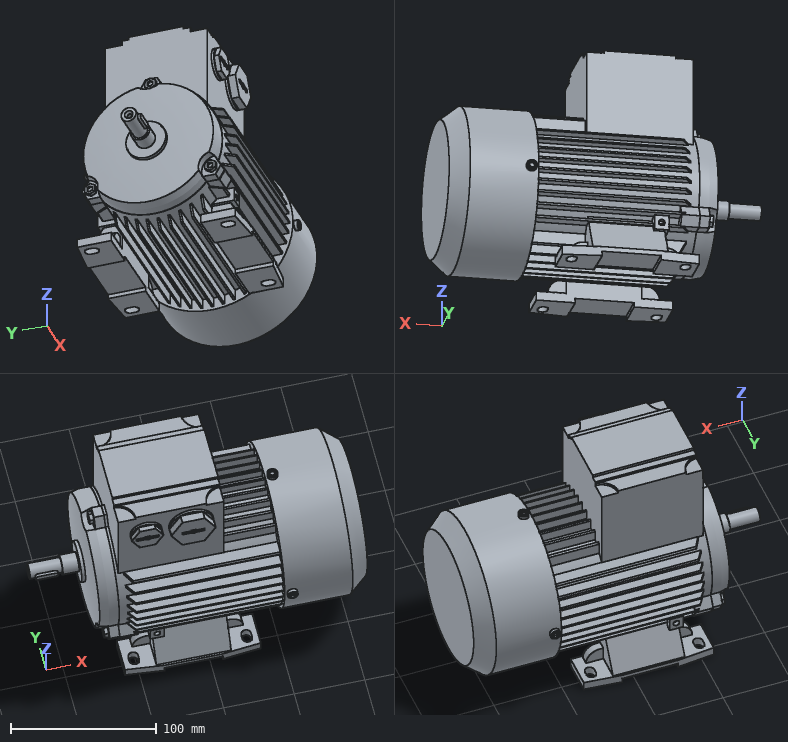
import cadquery as cq
import math


shoulder_x = 22.8
hub_x = 34.3
shield_face_x = 37.0
shield_rim_x = 39.0
shield_flange_x = 45.5
frame_x = 52.5
frame_lug_end_x = 65.5
cowl_x = 167.5
cowl_taper_x = 215.7
motor_length = 228.5

shaft_radius = 5.5
shoulder_radius = 14.0 / 2
key_width = 4.0
key_start_x = 3.5
key_length = 16.2
key_top = 7.3
key_bottom = 3.0
center_mouth_radius = 3.0
center_hole_radius = 1.71
center_cone_depth = 2.3
center_hole_depth = 9.1

hub_radius = 14.6
shield_face_mid = (37.7, 33.1)
shield_rim_radius = 47.8
shield_radius = 49.4
frame_radius = 49.5
cowl_radius = 59.0
cowl_end_radius = 48.7

bolt_circle_radius = 51.0
bolt_angles = (90, 210, 330)
shield_lug_top = 56.7
frame_lug_top = 57.1
lug_base_radius = 47.8
lug_base_half_width = 9.1
lug_tip_half_width = 4.0
bolt_pocket_radius = 11.5
bolt_pocket_center = 55.8
bolt_head_flats = 7.5
bolt_head_height = 3.0
bolt_socket_flats = 3.9
bolt_socket_depth = 1.4

fin_radius = 56.5
fin_pitch = 8.0
fin_thickness = 1.4
fins_each_side_of_center = 4
fin_root_x = 58.5
fin_tip_x = 63.3

box_start_x = 54.5
box_end_x = 129.5
box_half_width = 37.5
box_bottom = 32.2
box_shoulder = 97.0
box_step = 98.7
box_top = 100.8
box_step_half_width = 25.1
box_top_half_width = 20.0
corner_recess_radius = 12.3
corner_recess_depth = 1.8
box_length = box_end_x - box_start_x

plugs = ((74.3, 11.2, 5.5), (106.3, 15.8, 7.5))
plug_z = 77.2
plug_flange_height = 1.8
plug_slot_length = 16.0
plug_slot_width = 2.5
plug_slot_depth = 1.1
plug_dimple_radius = 2.0

screw_x = 172.7
screw_angles = (0, 90, 180)
screw_radius = 3.7
width_over_screws = 124.0
screw_top = width_over_screws / 2
screw_chamfer = 0.7
screw_socket_flats = 3.9
screw_socket_depth = 1.8

shaft_height = 63.0
foot_top = -56.5
bar_bottom = -59.9
foot_start_x = 54.5
foot_end_x = 150.8
pad_length = 27.5
foot_inner_y = 33.0
foot_end_y = 58.0
foot_outer_y = 60.8
foot_hole_width = 6.9
foot_hole_length = 10.0
foot_hole_spacing = 80.0
foot_hole_y = 50.0
bracket_start_x = 76.5
bracket_end_x = 129.5
bracket_bottom_y = 59.2
bracket_top_y = 41.1
bracket_top = -27.5
gusset_inner_y = 34.3
gusset_outer_y = 40.7
gusset_radius = 10.0
gusset_setback = 2.7

terminal_start_x = 74.3
terminal_width = 10.0
terminal_bottom = -36.5
terminal_top = -26.3
terminal_outer_y = 50.3
terminal_hole_radius = 2.17
terminal_hole_depth = 3.5


def box(x_range, y_range, z_range):
    """Block spanning the given (low, high) ranges."""
    (x0, x1), (y0, y1), (z0, z1) = x_range, y_range, z_range
    return cq.Workplane("XY").box(x1 - x0, y1 - y0, z1 - z0, centered=False).translate((x0, y0, z0))


def cylinder_x(x0, x1, radius):
    """Cylinder on the shaft axis."""
    return cq.Workplane("YZ").workplane(offset=x0).circle(radius).extrude(x1 - x0)


def both_sides(body):
    """The body together with its mirror image across the XZ plane."""
    return body.union(body.mirror("XZ"))


def hexagon_diameter(flats):
    """Corner diameter of a hexagon with the given distance across flats."""
    return flats / math.cos(math.pi / 6)


def make_shaft():
    shaft = cylinder_x(0, shoulder_x, shaft_radius).union(cylinder_x(shoulder_x, hub_x, shoulder_radius))
    key = (
        cq.Workplane("XZ")
        .workplane(offset=key_bottom)
        .center(key_start_x + key_length / 2, 0)
        .slot2D(key_length, key_width)
        .extrude(key_top - key_bottom)
    )
    center_hole = (
        cq.Workplane("XY")
        .moveTo(0, 0)
        .lineTo(0, center_mouth_radius)
        .lineTo(center_cone_depth, center_hole_radius)
        .lineTo(center_hole_depth, center_hole_radius)
        .lineTo(center_hole_depth, 0)
        .close()
        .revolve(360, (0, 0, 0), (1, 0, 0))
    )
    return shaft.union(key).cut(center_hole)


def make_lug(x0, x1, tip):
    """Tapered lug pointing along +Z, between two stations on the axis."""
    return (
        cq.Workplane("YZ")
        .workplane(offset=x0)
        .polyline(
            [
                (-lug_base_half_width, 0),
                (-lug_base_half_width, lug_base_radius),
                (-lug_tip_half_width, tip),
                (lug_tip_half_width, tip),
                (lug_base_half_width, lug_base_radius),
                (lug_base_half_width, 0),
            ]
        )
        .close()
        .extrude(x1 - x0)
    )


def make_bolt():
    """Socket bolt head seated on the top lug."""
    head_face = (
        cq.Workplane("YZ", origin=(shield_flange_x - bolt_head_height, 0, bolt_circle_radius))
        .transformed(rotate=(0, 0, 90))
    )
    head = head_face.polygon(6, hexagon_diameter(bolt_head_flats)).extrude(bolt_head_height)
    socket = head_face.polygon(6, hexagon_diameter(bolt_socket_flats)).extrude(bolt_socket_depth)
    return head.cut(socket)


def make_round_bodies():
    """End shield, frame barrel and fan cowl turned about the shaft axis."""
    return (
        cq.Workplane("XY")
        .moveTo(hub_x, 0)
        .lineTo(hub_x, hub_radius)
        .lineTo(shield_face_x, hub_radius)
        .threePointArc(shield_face_mid, (shield_rim_x, shield_rim_radius))
        .lineTo(shield_flange_x, shield_radius)
        .lineTo(frame_x, shield_radius)
        .lineTo(frame_x, frame_radius)
        .lineTo(cowl_x, frame_radius)
        .lineTo(cowl_x, cowl_radius)
        .lineTo(cowl_taper_x, cowl_radius)
        .lineTo(motor_length, cowl_end_radius)
        .lineTo(motor_length, 0)
        .close()
        .revolve(360, (0, 0, 0), (1, 0, 0))
    )


def add_lugs_and_bolts(body):
    lug = make_lug(shield_flange_x, frame_x, shield_lug_top).union(
        make_lug(frame_x, frame_lug_end_x, frame_lug_top)
    )
    pocket = (
        cq.Workplane("YZ")
        .workplane(offset=hub_x)
        .center(0, bolt_pocket_center)
        .circle(bolt_pocket_radius)
        .extrude(shield_flange_x - hub_x)
    )
    bolt = make_bolt()
    for angle in bolt_angles:
        turn = ((0, 0, 0), (1, 0, 0), angle - 90)
        body = body.union(lug.rotate(*turn))
        body = body.cut(pocket.rotate(*turn))
        body = body.union(bolt.rotate(*turn))
    return body


def make_fins():
    """Parallel fins, horizontal at the sides and vertical above and below, ending on a common cylinder."""
    envelope = (
        cq.Workplane("XY")
        .moveTo(fin_root_x, 0)
        .lineTo(fin_root_x, frame_radius)
        .lineTo(fin_tip_x, fin_radius)
        .lineTo(cowl_x, fin_radius)
        .lineTo(cowl_x, 0)
        .close()
        .revolve(360, (0, 0, 0), (1, 0, 0))
    )
    x_range = (fin_root_x, cowl_x)
    across = (-fin_radius, fin_radius)
    fins = cq.Workplane("XY")
    for index in range(-fins_each_side_of_center, fins_each_side_of_center + 1):
        center = index * fin_pitch
        thickness_range = (center - fin_thickness / 2, center + fin_thickness / 2)
        fins = fins.union(box(x_range, across, thickness_range))
        fins = fins.union(box(x_range, thickness_range, across))
    return fins.intersect(envelope)


def make_plug(x, flange_radius, height):
    """Slotted hexagonal plug on the -Y wall of the terminal box."""
    wall = cq.Workplane("XZ").workplane(offset=box_half_width).center(x, plug_z)
    plug = wall.circle(flange_radius).extrude(plug_flange_height)
    plug = plug.union(wall.polygon(6, 2 * flange_radius).extrude(height))
    slot_floor = wall.workplane(offset=height - plug_slot_depth)
    slot = slot_floor.slot2D(plug_slot_length, plug_slot_width).extrude(plug_slot_depth)
    dimple = slot_floor.circle(plug_dimple_radius).extrude(plug_slot_depth)
    return plug.cut(slot).cut(dimple)


def make_terminal_box():
    x_range = (box_start_x, box_end_x)
    body = box(x_range, (-box_half_width, box_half_width), (box_bottom, box_shoulder))
    body = body.union(box(x_range, (-box_step_half_width, box_step_half_width), (box_bottom, box_step)))
    body = body.union(box(x_range, (-box_top_half_width, box_top_half_width), (box_bottom, box_top)))
    corner_recesses = (
        cq.Workplane("XY", origin=(box_start_x + box_length / 2, 0, box_shoulder - corner_recess_depth))
        .rect(box_length, 2 * box_half_width, forConstruction=True)
        .vertices()
        .circle(corner_recess_radius)
        .extrude(corner_recess_depth)
    )
    body = body.cut(corner_recesses)
    for plug in plugs:
        body = body.union(make_plug(*plug))
    return body


def make_screw():
    """Cowl screw with a hexagonal socket, pointing along +Z."""
    screw_length = screw_top - cowl_end_radius
    return (
        cq.Workplane("XY", origin=(screw_x, 0, cowl_end_radius))
        .circle(screw_radius)
        .extrude(screw_length)
        .faces(">Z")
        .chamfer(screw_chamfer)
        .faces(">Z")
        .workplane()
        .polygon(6, hexagon_diameter(screw_socket_flats))
        .cutBlind(-screw_socket_depth)
    )


def make_foot():
    """Foot on the +Y side: two pads joined by a thinner bar, a sloped bracket and two round gussets."""
    pad_inner_x = (foot_start_x + pad_length, foot_end_x - pad_length)
    foot = (
        cq.Workplane("XY", origin=(0, 0, -shaft_height))
        .polyline(
            [
                (foot_start_x, foot_inner_y),
                (foot_start_x, foot_end_y),
                (pad_inner_x[0], foot_outer_y),
                (pad_inner_x[1], foot_outer_y),
                (foot_end_x, foot_end_y),
                (foot_end_x, foot_inner_y),
            ]
        )
        .close()
        .extrude(foot_top + shaft_height)
    )
    foot = foot.cut(box(pad_inner_x, (0, foot_outer_y), (-shaft_height, bar_bottom)))
    foot_center_x = (foot_start_x + foot_end_x) / 2
    hole_x = (foot_center_x - foot_hole_spacing / 2, foot_center_x + foot_hole_spacing / 2)
    foot_holes = (
        cq.Workplane("XY", origin=(0, 0, -shaft_height))
        .pushPoints([(x, foot_hole_y) for x in hole_x])
        .slot2D(foot_hole_length, foot_hole_width, 90)
        .extrude(foot_top + shaft_height)
    )
    foot = foot.cut(foot_holes)
    bracket = (
        cq.Workplane("YZ")
        .workplane(offset=bracket_start_x)
        .polyline(
            [
                (foot_inner_y, foot_top),
                (bracket_bottom_y, foot_top),
                (bracket_top_y, bracket_top),
                (foot_inner_y, bracket_top),
            ]
        )
        .close()
        .extrude(bracket_end_x - bracket_start_x)
    )
    gusset_x = (bracket_start_x - gusset_setback, bracket_end_x + gusset_setback)
    gussets = box(gusset_x, (gusset_inner_y, gusset_outer_y), (foot_top, foot_top + gusset_radius))
    round_ends = (
        cq.Workplane("XZ", origin=(0, gusset_outer_y, foot_top))
        .pushPoints([(x, 0) for x in gusset_x])
        .circle(gusset_radius)
        .extrude(gusset_outer_y - gusset_inner_y)
        .intersect(box((0, motor_length), (0, foot_outer_y), (foot_top, 0)))
    )
    return foot.union(bracket).union(gussets).union(round_ends)


def make_terminal():
    """Square grounding terminal with a blind screw hole, on the +Y side."""
    terminal = box(
        (terminal_start_x, terminal_start_x + terminal_width),
        (foot_inner_y, terminal_outer_y),
        (terminal_bottom, terminal_top),
    )
    return (
        terminal.faces(">Y")
        .workplane(centerOption="CenterOfBoundBox")
        .circle(terminal_hole_radius)
        .cutBlind(-terminal_hole_depth)
    )


motor = add_lugs_and_bolts(make_round_bodies())
motor = motor.union(make_shaft()).union(make_fins()).union(make_terminal_box())
for angle in screw_angles:
    motor = motor.union(make_screw().rotate((0, 0, 0), (1, 0, 0), angle - 90))
result = motor.union(both_sides(make_foot().union(make_terminal())))